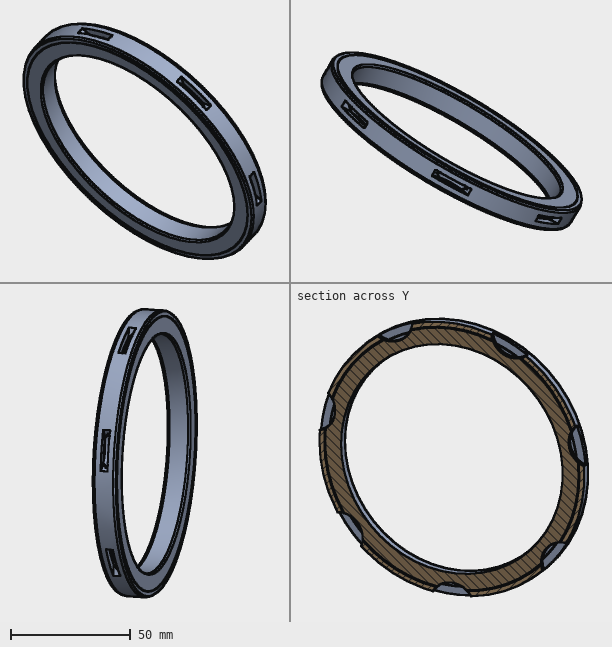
import cadquery as cq
import math


outer_diameter = 120.0
bore_diameter = 100.0
seal_width = 10.0

chamfer_width = 1.0
chamfer_height = 0.5

joint_radius = 57.5
joint_gap = 0.2
tooth_count = 2
tooth_pitch = seal_width / tooth_count
tooth_flank_angle = 40.0
tooth_depth = tooth_pitch / 2 * math.tan(math.radians(tooth_flank_angle))

slot_count = 7
slot_width = 3.0
slot_length = 17.2
cutter_radius = 10.0

outer_radius = outer_diameter / 2
bore_radius = bore_diameter / 2
front_y = -seal_width / 2
back_y = seal_width / 2
half_slot = slot_length / 2
cutter_offset = math.sqrt(outer_radius**2 - half_slot**2) + math.sqrt(cutter_radius**2 - half_slot**2)


def revolve_about_y(points):
    """Solid of revolution about Y from (radius, y) points."""
    return cq.Workplane("XY").polyline(points).close().revolve(360, (0, 0, 0), (0, 1, 0))


def joint_points(radius):
    """Zigzag wall of the joint, from the front face to the back face."""
    points = [(radius, front_y)]
    for tooth in range(tooth_count):
        start_y = front_y + tooth * tooth_pitch
        points.append((radius - tooth_depth, start_y + tooth_pitch / 2))
        points.append((radius, start_y + tooth_pitch))
    return points


def drain_slot_cutters():
    """Discs spaced evenly round the seal, the first one at the bottom."""
    disc = (
        cq.Workplane("XZ")
        .center(0, -cutter_offset)
        .circle(cutter_radius)
        .extrude(slot_width / 2, both=True)
    )
    cutters = []
    for index in range(slot_count):
        angle = index * 360 / slot_count
        cutters.append(disc.rotate((0, 0, 0), (0, 1, 0), angle))
    return cutters


def cut_drain_slots(ring):
    for cutter in drain_slot_cutters():
        ring = ring.cut(cutter)
    return ring


def make_outer_ring():
    ring = revolve_about_y(
        joint_points(joint_radius + joint_gap / 2)
        + [
            (outer_radius - chamfer_height, back_y),
            (outer_radius, back_y - chamfer_width),
            (outer_radius, front_y + chamfer_width),
            (outer_radius - chamfer_height, front_y),
        ]
    )
    return cut_drain_slots(ring)


def make_inner_ring():
    ring = revolve_about_y(
        joint_points(joint_radius - joint_gap / 2)
        + [
            (bore_radius + chamfer_height, back_y),
            (bore_radius, back_y - chamfer_width),
            (bore_radius, front_y + chamfer_width),
            (bore_radius + chamfer_height, front_y),
        ]
    )
    return cut_drain_slots(ring)


outer_ring = make_outer_ring()
inner_ring = make_inner_ring()

result = cq.Compound.makeCompound([outer_ring.solids().val(), inner_ring.solids().val()])